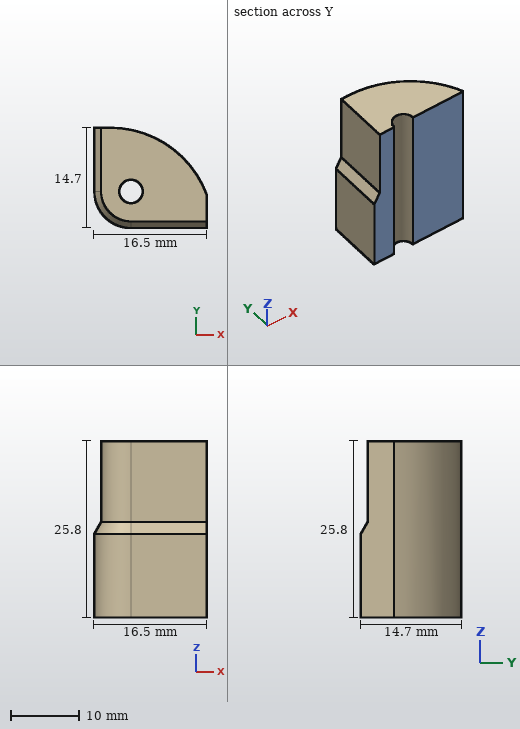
import cadquery as cq
import math

size_x = 16.48
size_y = 14.72
height = 25.8

lower_height = 12.25
shoulder_height = 1.75
upper_height = height - lower_height - shoulder_height
step_inset = 1.0
corner_radius = 5.38

back_radius = 15.1
back_center_x = 2.33
back_center_y = size_y - back_radius

hole_diameter = 3.4

trim_allowance = 10.0


def corner_block(inset, base_z, block_height, taper=0):
    """Oversize block with rounded upright edges and its -X and -Y walls moved in by inset."""
    length_x = size_x + trim_allowance - 2 * inset
    length_y = size_y + trim_allowance - 2 * inset
    outline = cq.Sketch().rect(length_x, length_y).vertices().fillet(corner_radius - inset)
    center_x = (size_x + trim_allowance) / 2
    center_y = (size_y + trim_allowance) / 2
    return (
        cq.Workplane("XY", origin=(center_x, center_y, base_z))
        .placeSketch(outline)
        .extrude(block_height, taper=taper)
    )


def stepped_block():
    """Lower block, sloped shoulder and narrower upper block."""
    shoulder_top = lower_height + shoulder_height
    shoulder_angle = math.degrees(math.atan2(step_inset, shoulder_height))
    lower = corner_block(0, 0, lower_height)
    shoulder = corner_block(0, lower_height, shoulder_height, shoulder_angle)
    upper = corner_block(step_inset, shoulder_top, upper_height)
    return lower.union(shoulder).union(upper)


def plan_prism():
    """Full-height prism with the large curved face."""
    def on_back_arc(x):
        return (x, back_center_y + math.sqrt(back_radius**2 - (x - back_center_x) ** 2))

    return (
        cq.Workplane("XY")
        .lineTo(size_x, 0)
        .lineTo(*on_back_arc(size_x))
        .threePointArc(on_back_arc((back_center_x + size_x) / 2), on_back_arc(back_center_x))
        .lineTo(0, size_y)
        .close()
        .extrude(height)
    )


def corner_hole():
    """Round hole through the full height."""
    return (
        cq.Workplane("XY")
        .center(corner_radius, corner_radius)
        .circle(hole_diameter / 2)
        .extrude(height)
    )


result = stepped_block().intersect(plan_prism()).cut(corner_hole())